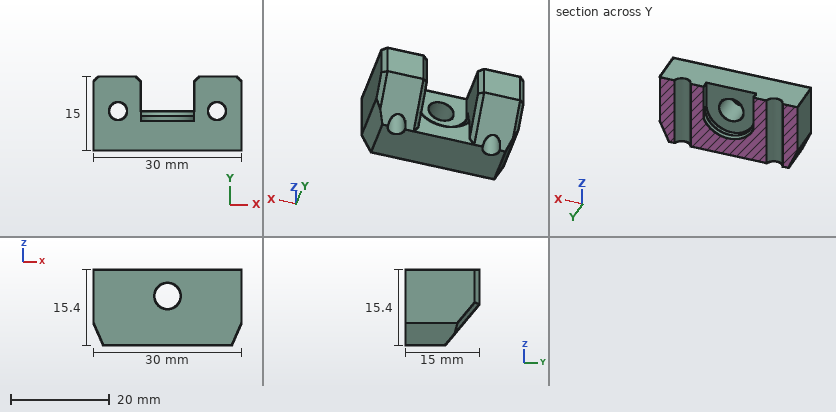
import cadquery as cq
import math

WIDTH = 30.0
DEPTH = 15.0
HEIGHT = 15.35

WALL_THICKNESS = 8.0
SLOT_WIDTH = 10.8
ARM_WIDTH = (WIDTH - SLOT_WIDTH) / 2
ARM_CHAMFER = 1.0

UNDERSIDE_ANGLE = 50.0
UNDERSIDE_RISE = (DEPTH - WALL_THICKNESS) * math.tan(math.radians(UNDERSIDE_ANGLE))

BEVEL_WIDTH = 2.0
BEVEL_HEIGHT = 4.55

BORE_DIAMETER = 5.3
BORE_HEIGHT = 10.0
RECESS_FLOOR_Y = 6.0
RECESS_RADIUS = SLOT_WIDTH / 2
RECESS_CHAMFER = 1.0

SCREW_DIAMETER = 3.6
SCREW_SPACING = 20.0
SCREW_Y = 8.0


def make_wall():
    """Front wall across the full width."""
    return cq.Workplane("XY").box(WIDTH, WALL_THICKNESS, HEIGHT, centered=(True, False, False))


def make_arm(side):
    """Full-depth arm, chamfered around its back and sloping faces; side is -1 or 1."""
    arm = (
        cq.Workplane("YZ")
        .moveTo(0, 0)
        .lineTo(WALL_THICKNESS, 0)
        .lineTo(DEPTH, UNDERSIDE_RISE)
        .lineTo(DEPTH, HEIGHT)
        .lineTo(0, HEIGHT)
        .close()
        .extrude(ARM_WIDTH / 2, both=True)
    )
    back_edges = arm.faces(">Y").edges("|Z").vals()
    end_faces = arm.faces("|X")
    slope_edges = end_faces.edges("not(|Y or |Z)").vals()
    arm = arm.newObject(back_edges + slope_edges).chamfer(ARM_CHAMFER)
    return arm.translate((side * (WIDTH - ARM_WIDTH) / 2, 0, 0))


def make_bevel(side):
    """Wedge to remove along one lower side edge; side is -1 or 1."""
    edge_x = side * WIDTH / 2
    return (
        cq.Workplane("XZ")
        .moveTo(edge_x, 0)
        .lineTo(edge_x - side * BEVEL_WIDTH, 0)
        .lineTo(edge_x, BEVEL_HEIGHT)
        .close()
        .extrude(-DEPTH)
    )


def make_recess():
    """Round-bottomed recess in the back of the wall, with a flared rim between the arms."""
    recess_depth = WALL_THICKNESS - RECESS_FLOOR_Y
    floor_plane = cq.Workplane("XZ", origin=(0, RECESS_FLOOR_Y, BORE_HEIGHT))
    round_part = floor_plane.circle(RECESS_RADIUS).extrude(-recess_depth)
    flare = cq.Workplane(
        cq.Solid.makeCone(
            RECESS_RADIUS,
            RECESS_RADIUS + RECESS_CHAMFER,
            RECESS_CHAMFER,
            pnt=cq.Vector(0, WALL_THICKNESS - RECESS_CHAMFER, BORE_HEIGHT),
            dir=cq.Vector(0, 1, 0),
        )
    )
    between_arms = cq.Workplane("XY").box(SLOT_WIDTH, DEPTH, HEIGHT, centered=(True, False, False))
    open_top = (
        cq.Workplane("XY", origin=(0, RECESS_FLOOR_Y, BORE_HEIGHT))
        .box(SLOT_WIDTH, recess_depth, HEIGHT - BORE_HEIGHT, centered=(True, False, False))
    )
    return round_part.union(open_top).union(flare.intersect(between_arms))


def make_bore():
    """Horizontal bore through the wall."""
    return (
        cq.Workplane("XZ", origin=(0, 0, BORE_HEIGHT))
        .circle(BORE_DIAMETER / 2)
        .extrude(-WALL_THICKNESS)
    )


def make_screw_holes():
    """One vertical through hole at each side."""
    return (
        cq.Workplane("XY")
        .pushPoints([(side * SCREW_SPACING / 2, SCREW_Y) for side in (-1, 1)])
        .circle(SCREW_DIAMETER / 2)
        .extrude(HEIGHT)
    )


body = make_wall()
for side in (-1, 1):
    body = body.union(make_arm(side))
for side in (-1, 1):
    body = body.cut(make_bevel(side))

result = body.cut(make_recess()).cut(make_bore()).cut(make_screw_holes())